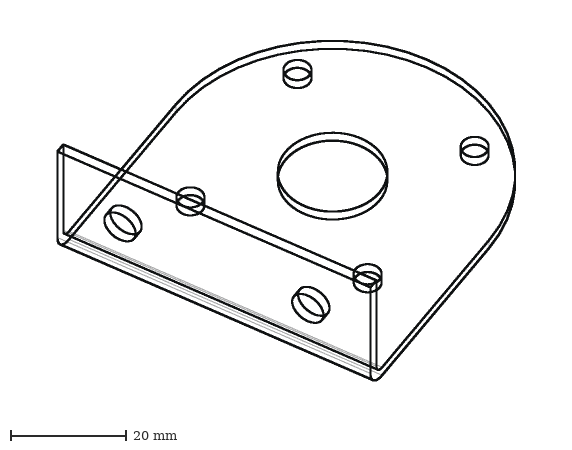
import cadquery as cq

width = 63.5
length = 71.6
height = 25.4

thickness = 2.0
inner_bend_radius = 1.9
outer_bend_radius = inner_bend_radius + thickness

end_radius = width / 2
bore_y = length - end_radius
bore_diameter = 19.05
base_hole_spacing = 35.9
base_hole_diameter = 4.9

flange_hole_spacing = 38.1
flange_hole_diameter = 6.4
flange_hole_z = 13.4


def bent_sheet():
    """L-shaped sheet: base along +Y, flange rising at Y = 0, centred on X."""
    blank = cq.Workplane("XY").box(width, length, height, centered=(True, False, False))
    blank = blank.edges("<Y and <Z").fillet(outer_bend_radius)
    inside = (
        cq.Workplane("XY", origin=(0, thickness, thickness))
        .box(width, length, height, centered=(True, False, False))
        .edges("<Y and <Z")
        .fillet(inner_bend_radius)
    )
    return blank.cut(inside)


def plan_outline():
    """Prism with straight sides and a semicircular far end."""
    return (
        cq.Workplane("XY")
        .moveTo(-end_radius, 0)
        .lineTo(end_radius, 0)
        .lineTo(end_radius, bore_y)
        .threePointArc((0, length), (-end_radius, bore_y))
        .close()
        .extrude(height)
    )


def base_holes():
    """Central bore and the four holes around it."""
    centre = cq.Workplane("XY", origin=(0, bore_y, 0))
    bore = centre.circle(bore_diameter / 2).extrude(thickness)
    pattern = (
        centre.rarray(base_hole_spacing, base_hole_spacing, 2, 2)
        .circle(base_hole_diameter / 2)
        .extrude(thickness)
    )
    return bore.union(pattern)


def flange_holes():
    """Pair of holes through the upright flange."""
    return (
        cq.Workplane("XZ", origin=(0, 0, flange_hole_z))
        .rarray(flange_hole_spacing, 0.7, 2, 1)
        .circle(flange_hole_diameter / 2)
        .extrude(-thickness)
    )


result = bent_sheet().intersect(plan_outline()).cut(base_holes()).cut(flange_holes())